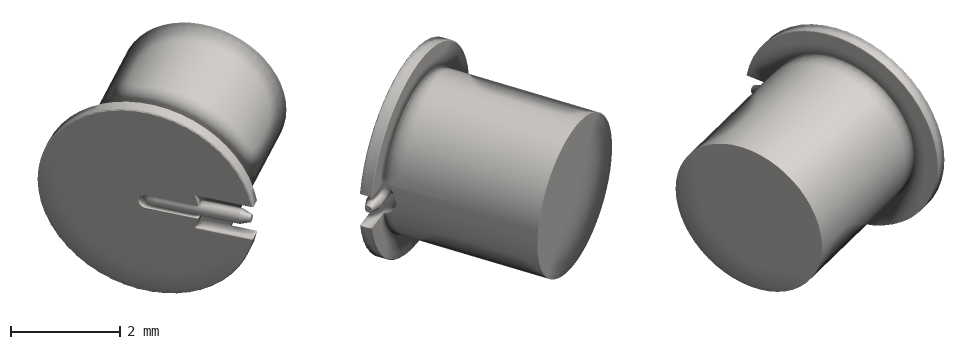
import cadquery as cq
import math

LENGTH = 3.38
FLANGE_RADIUS = 2.095
FLANGE_THICKNESS = 0.25
FRONT_FILLET = 0.025
BACK_FILLET = 0.013
ROOT_FILLET = 0.025
BARREL_RADIUS = 1.592
BORE_RADIUS = 1.02

PIN_RADIUS = 0.145
PIN_END_X = 1.985
PIN_TIP_LENGTH = 0.195
PIN_TIP_RADIUS = 0.075
BEND_RADIUS = PIN_RADIUS
PIN_AXIS_Y = PIN_RADIUS
BEND_END_Y = PIN_AXIS_Y + BEND_RADIUS

SLOT_RADIUS = 0.37
SLOT_FILLET = FRONT_FILLET


def cylinder_along_y(radius, length):
    """Cylinder on the Y axis, starting at the front face."""
    return cq.Workplane("XZ").circle(radius).extrude(-length)


def make_slot():
    """Cutter for the slot, with rounded edges on the front face."""
    mouth = SLOT_RADIUS + SLOT_FILLET
    arc_sag = SLOT_FILLET * (1 - math.sqrt(0.5))
    return (
        cq.Workplane("YZ")
        .moveTo(0, -mouth)
        .threePointArc((arc_sag, -SLOT_RADIUS - arc_sag), (SLOT_FILLET, -SLOT_RADIUS))
        .lineTo(PIN_AXIS_Y, -SLOT_RADIUS)
        .threePointArc((PIN_AXIS_Y + SLOT_RADIUS, 0), (PIN_AXIS_Y, SLOT_RADIUS))
        .lineTo(SLOT_FILLET, SLOT_RADIUS)
        .threePointArc((arc_sag, SLOT_RADIUS + arc_sag), (0, mouth))
        .close()
        .extrude(FLANGE_RADIUS)
    )


def make_shell():
    """Flanged barrel, bored right through and slotted towards +X."""
    root_y = FLANGE_THICKNESS + ROOT_FILLET
    body = (
        cq.Workplane("XY")
        .moveTo(BORE_RADIUS, 0)
        .lineTo(FLANGE_RADIUS - FRONT_FILLET, 0)
        .tangentArcPoint((FLANGE_RADIUS, FRONT_FILLET), relative=False)
        .lineTo(FLANGE_RADIUS, FLANGE_THICKNESS - BACK_FILLET)
        .tangentArcPoint((FLANGE_RADIUS - BACK_FILLET, FLANGE_THICKNESS), relative=False)
        .lineTo(BARREL_RADIUS + ROOT_FILLET, FLANGE_THICKNESS)
        .tangentArcPoint((BARREL_RADIUS, root_y), relative=False)
        .lineTo(BARREL_RADIUS, LENGTH)
        .lineTo(BORE_RADIUS, LENGTH)
        .close()
        .revolve(360, (0, 0, 0), (0, 1, 0))
    )
    return body.cut(make_slot())


def make_pin_run():
    """Straight exposed run of the pin with its tapered tip."""
    return (
        cq.Workplane("XY")
        .moveTo(BEND_RADIUS, PIN_AXIS_Y)
        .lineTo(BEND_RADIUS, PIN_AXIS_Y + PIN_RADIUS)
        .lineTo(PIN_END_X - PIN_TIP_LENGTH, PIN_AXIS_Y + PIN_RADIUS)
        .lineTo(PIN_END_X, PIN_AXIS_Y + PIN_TIP_RADIUS)
        .lineTo(PIN_END_X, PIN_AXIS_Y)
        .close()
        .revolve(360, (0, PIN_AXIS_Y, 0), (1, PIN_AXIS_Y, 0))
    )


def make_pin_bend():
    """Quarter-turn elbow that carries the pin from +X into the bead along +Y."""
    return (
        cq.Workplane("XZ", origin=(0, BEND_END_Y, 0))
        .circle(PIN_RADIUS)
        .revolve(90, (BEND_RADIUS, 0, 0), (BEND_RADIUS, 1, 0))
    )


def make_groove():
    """Cutter for the front groove in the bead that exposes the pin and its bend."""
    end = cylinder_along_y(PIN_RADIUS, BEND_END_Y)
    trough = cq.Workplane("XY").box(
        BORE_RADIUS, PIN_AXIS_Y, 2 * PIN_RADIUS, centered=(False, False, True)
    )
    return end.union(trough)


def make_contact():
    """Bead filling the bore, together with the pin fixed in it."""
    bead = cylinder_along_y(BORE_RADIUS, LENGTH).cut(make_groove())
    return bead.union(make_pin_bend()).union(make_pin_run())


shell = make_shell()
contact = make_contact()

result = cq.Compound.makeCompound([shell.val(), contact.val()])